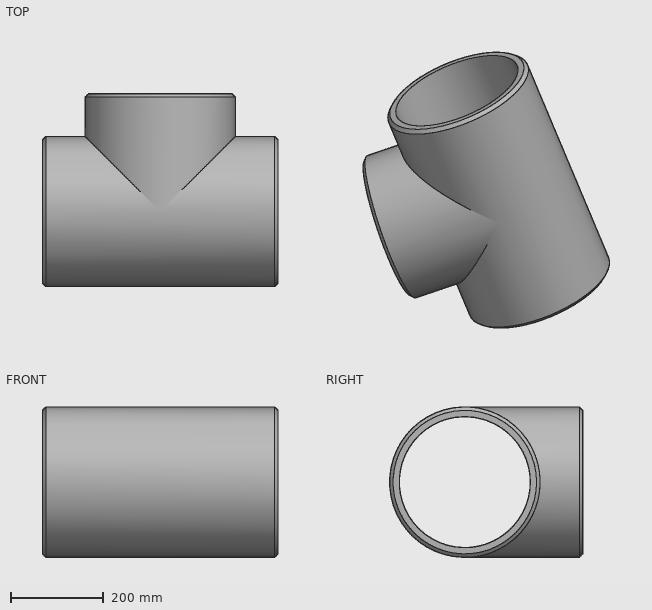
import cadquery as cq

run_length = 508.0
branch_reach = run_length / 2
outer_diameter = 324.0
bore_diameter = 281.5
end_chamfer = 7.5


def run_cylinder(diameter):
    """Cylinder along X, centred on the origin."""
    return cq.Workplane("YZ").circle(diameter / 2).extrude(run_length / 2, both=True)


def branch_cylinder(diameter):
    """Cylinder along +Y, starting on the run axis."""
    return cq.Workplane("XZ").circle(diameter / 2).extrude(-branch_reach)


run_body = run_cylinder(outer_diameter).faces("<X or >X").edges().chamfer(end_chamfer)
branch_body = branch_cylinder(outer_diameter).faces(">Y").edges().chamfer(end_chamfer)
body = run_body.union(branch_body)

result = body.cut(run_cylinder(bore_diameter)).cut(branch_cylinder(bore_diameter))